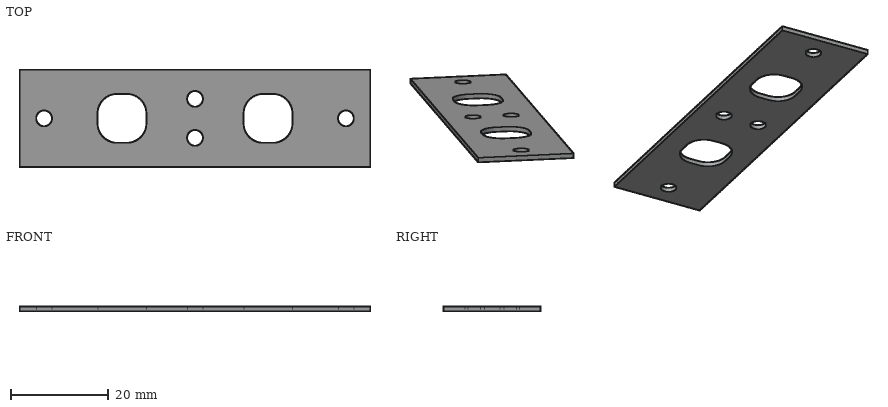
import cadquery as cq

plate_length = 72.0
plate_width = 20.0
plate_thickness = 1.0

hole_diameter = 3.2
end_hole_offset = 31.0
middle_hole_offset = 4.0

window_size = 10.0
window_corner_radius = 4.0
window_offset = 15.0


def make_plate():
    return cq.Workplane("XY").box(plate_length, plate_width, plate_thickness)


def cut_round_holes(plate):
    centres = []
    for side in (-1, 1):
        centres.append((side * end_hole_offset, 0))
        centres.append((0, side * middle_hole_offset))
    return plate.faces(">Z").workplane().pushPoints(centres).hole(hole_diameter)


def cut_windows(plate):
    windows = (
        cq.Workplane("XY")
        .pushPoints([(-window_offset, 0), (window_offset, 0)])
        .rect(window_size, window_size)
        .extrude(plate_thickness, both=True)
        .edges("|Z")
        .fillet(window_corner_radius)
    )
    return plate.cut(windows)


result = cut_windows(cut_round_holes(make_plate()))